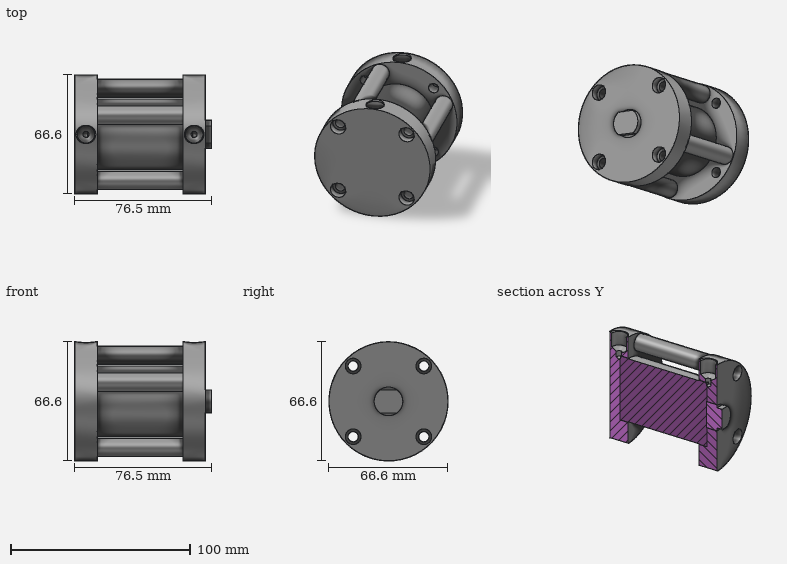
import cadquery as cq
import math

TOTAL_LENGTH = 76.45
HEAD_DIAMETER = 66.6
HEAD_THICKNESS = 12.7
ROD_PROTRUSION = 3.4
HEAD_GAP = TOTAL_LENGTH - 2 * HEAD_THICKNESS - ROD_PROTRUSION
HEAD_RADIUS = HEAD_DIAMETER / 2

BARREL_DIAMETER = 39.75
RECESS_DEPTH = 5.5

ROD_DIAMETER = 16.0
ROD_ACROSS_FLATS = 12.85

PITCH_RADIUS = 27.9
TIE_ROD_COUNT = 4
TIE_ROD_DIAMETER = 10.2
TIE_ROD_START_ANGLE = 67.5
MOUNTING_HOLE_COUNT = 4
MOUNTING_HOLE_START_ANGLE = 45.0
MOUNTING_HOLE_DIAMETER = 5.65
COUNTERBORE_DIAMETER = 8.7
COUNTERBORE_DEPTH = 5.0

PORT_DIAMETER = 9.7
PORT_DEPTH = 9.2
PORT_MOUTH_DIAMETER = 11.0
PASSAGE_DIAMETER = 3.4
PASSAGE_DEPTH = 14.5
DRILL_POINT_ANGLE = 118.0

INNER_FACE_X = HEAD_GAP / 2
OUTER_FACE_X = INNER_FACE_X + HEAD_THICKNESS
RECESS_FLOOR_X = INNER_FACE_X + RECESS_DEPTH
PORT_X = INNER_FACE_X + HEAD_THICKNESS / 2


def x_cylinder(diameter, start_x, end_x, y=0.0, z=0.0):
    """Cylinder parallel to X between two X positions."""
    return (
        cq.Workplane("YZ", origin=(start_x, y, z))
        .circle(diameter / 2)
        .extrude(end_x - start_x)
    )


def pitch_circle_points(count, start_angle):
    """Evenly spaced (y, z) points on the pitch circle, at angles from +Y towards +Z."""
    angles = [math.radians(start_angle + i * 360 / count) for i in range(count)]
    return [(PITCH_RADIUS * math.cos(a), PITCH_RADIUS * math.sin(a)) for a in angles]


def make_port_cutter():
    """Revolved port profile: 45-degree mouth chamfer, port, drill cone, passage, drill point."""
    port_radius = PORT_DIAMETER / 2
    mouth_radius = PORT_MOUTH_DIAMETER / 2
    passage_radius = PASSAGE_DIAMETER / 2
    cone_slope = 1 / math.tan(math.radians(DRILL_POINT_ANGLE / 2))
    port_bottom = HEAD_RADIUS - PORT_DEPTH
    passage_bottom = HEAD_RADIUS - PASSAGE_DEPTH
    profile = [
        (0, HEAD_RADIUS),
        (mouth_radius, HEAD_RADIUS),
        (port_radius, HEAD_RADIUS - (mouth_radius - port_radius)),
        (port_radius, port_bottom),
        (passage_radius, port_bottom - (port_radius - passage_radius) * cone_slope),
        (passage_radius, passage_bottom),
        (0, passage_bottom - passage_radius * cone_slope),
    ]
    cutter = cq.Workplane("XZ").polyline(profile).close().revolve(360, (0, 0), (0, 1))
    return cutter.translate((PORT_X, 0, 0))


def make_plain_head():
    """Head in its +X position, without a piston rod hole."""
    head = x_cylinder(HEAD_DIAMETER, INNER_FACE_X, OUTER_FACE_X)
    head = head.cut(x_cylinder(BARREL_DIAMETER, INNER_FACE_X, RECESS_FLOOR_X))
    for y, z in pitch_circle_points(MOUNTING_HOLE_COUNT, MOUNTING_HOLE_START_ANGLE):
        head = head.cut(x_cylinder(MOUNTING_HOLE_DIAMETER, INNER_FACE_X, OUTER_FACE_X, y, z))
        counterbore_floor_x = OUTER_FACE_X - COUNTERBORE_DEPTH
        head = head.cut(x_cylinder(COUNTERBORE_DIAMETER, counterbore_floor_x, OUTER_FACE_X, y, z))
    return head.cut(make_port_cutter())


def make_rear_head():
    """Closed head at the -X end, the mirror image of the plain head."""
    return make_plain_head().mirror("YZ")


def make_front_head():
    """Head at the +X end, bored for the piston rod."""
    return make_plain_head().cut(x_cylinder(ROD_DIAMETER, RECESS_FLOOR_X, OUTER_FACE_X))


def make_barrel():
    return x_cylinder(BARREL_DIAMETER, -RECESS_FLOOR_X, RECESS_FLOOR_X)


def make_piston_rod():
    """Rod from the end of the barrel through the front head, flattened above and below."""
    shank = x_cylinder(ROD_DIAMETER, RECESS_FLOOR_X, OUTER_FACE_X)
    tip = x_cylinder(ROD_DIAMETER, OUTER_FACE_X, OUTER_FACE_X + ROD_PROTRUSION)
    flats = (
        cq.Workplane("YZ", origin=(OUTER_FACE_X, 0, 0))
        .rect(ROD_DIAMETER, ROD_ACROSS_FLATS)
        .extrude(ROD_PROTRUSION)
    )
    return shank.union(tip.intersect(flats))


def make_tie_rod(y, z):
    return x_cylinder(TIE_ROD_DIAMETER, -INNER_FACE_X, INNER_FACE_X, y, z)


rear_head = make_rear_head()
front_head = make_front_head()
barrel = make_barrel()
piston_rod = make_piston_rod()
tie_rods = [make_tie_rod(y, z) for y, z in pitch_circle_points(TIE_ROD_COUNT, TIE_ROD_START_ANGLE)]

result = cq.Compound.makeCompound(
    [
        rear_head.val(),
        front_head.val(),
        barrel.val(),
        piston_rod.val(),
        *[tie_rod.val() for tie_rod in tie_rods],
    ]
)